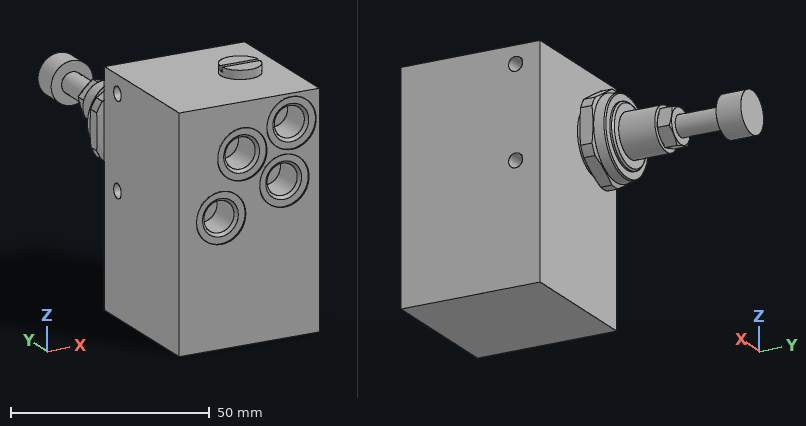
import cadquery as cq

block_side = 40.0
base_height = 25.0
block_height = 65.0

port_places = [(32.05, 8.0), (18.0, 14.0), (30.0, 23.0), (12.0, 30.0)]
spotface_diameter = 14.0
spotface_depth = 0.4
port_rim_diameter = 10.2
port_diameter = 8.6
port_depth = 10.2

cross_hole_diameter = 4.0
cross_hole_y = 33.0
cross_hole_heights = (34.0, 59.9)

screw_x = 28.05
screw_y = block_side / 2
screw_diameter = 11.0
screw_height = 2.5
slot_width = 1.3
slot_depth = 1.3

plunger_x = 11.05
plunger_z = 47.0
collar_diameter = 19.0
lock_nut_start = 1.95
lock_nut_end = 5.9
lock_nut_flats = 24.0
lock_nut_corner_diameter = 26.0
lock_nut_turn = 30
lock_nut_bevel_width = 1.3
lock_nut_bevel_height = 0.3
cap_base_radius = 11.7
cap_shoulder_radius = 11.3
cap_top_radius = 11.05
cap_end = 9.0
cap_bevel = 0.4
disc_diameter = 18.0
disc_end = 10.0
disc_bevel = 0.5
barrel_diameter = 12.5
barrel_end = 20.4
small_nut_end = 24.5
small_nut_corners = 11.6
small_nut_turn = -45
small_nut_bevel_width = 0.85
small_nut_bevel_height = 0.3
rod_diameter = 6.0
rod_end = 37.8
knob_diameter = 12.0
overall_length = 85.0
plunger_length = overall_length - block_side

HEX_CORNERS_PER_FLATS = 2 / 3**0.5


def make_block():
    """Stack the base and the valve body, keeping the seam between them."""
    base = cq.Workplane("XY").box(block_side, block_side, base_height, centered=False)
    body = (
        cq.Workplane("XY")
        .workplane(offset=base_height)
        .box(block_side, block_side, block_height - base_height, centered=False)
    )
    return base.union(body, clean=False)


def make_port(x, drop):
    """Spotface, conical lead-in and blind bore, as a cutter revolved about the port axis."""
    lead_in_end = spotface_depth + (port_rim_diameter - port_diameter) / 2
    profile = [
        (0, 0),
        (spotface_diameter / 2, 0),
        (spotface_diameter / 2, spotface_depth),
        (port_rim_diameter / 2, spotface_depth),
        (port_diameter / 2, lead_in_end),
        (port_diameter / 2, port_depth),
        (0, port_depth),
    ]
    cutter = cq.Workplane("XY").polyline(profile).close().revolve(360, (0, 0, 0), (0, 1, 0))
    return cutter.translate((x, 0, block_height - drop))


def make_cross_holes():
    return (
        cq.Workplane("YZ")
        .pushPoints([(cross_hole_y, z) for z in cross_hole_heights])
        .circle(cross_hole_diameter / 2)
        .extrude(block_side)
    )


def make_screw():
    head = cq.Workplane("XY").circle(screw_diameter / 2).extrude(screw_height)
    slot = (
        cq.Workplane("XY")
        .workplane(offset=screw_height - slot_depth)
        .rect(screw_diameter, slot_width)
        .extrude(slot_depth)
    )
    return head.cut(slot).translate((screw_x, screw_y, block_height))


def cylinder(diameter, start, end):
    """Round plunger section standing on the Z axis."""
    return cq.Workplane("XY").workplane(offset=start).circle(diameter / 2).extrude(end - start)


def hex_nut(corners, turn, round_diameter, bevel_width, bevel_height, start, end):
    """Hexagon trimmed by a round blank that is bevelled at both ends."""
    radius = round_diameter / 2
    profile = [
        (0, start),
        (radius - bevel_width, start),
        (radius, start + bevel_height),
        (radius, end - bevel_height),
        (radius - bevel_width, end),
        (0, end),
    ]
    blank = cq.Workplane("XZ").polyline(profile).close().revolve(360, (0, 0, 0), (0, 1, 0))
    hexagon = (
        cq.Workplane("XY")
        .workplane(offset=start)
        .polygon(6, corners)
        .extrude(end - start)
        .rotate((0, 0, 0), (0, 0, 1), turn)
    )
    return hexagon.intersect(blank)


def make_cap():
    profile = [
        (0, lock_nut_end),
        (cap_base_radius, lock_nut_end),
        (cap_shoulder_radius, cap_end - cap_bevel),
        (cap_top_radius, cap_end),
        (0, cap_end),
    ]
    return cq.Workplane("XZ").polyline(profile).close().revolve(360, (0, 0, 0), (0, 1, 0))


def make_plunger():
    """Build the plunger along +Z, then lay it along +Y on its axis in the back face."""
    lock_nut = hex_nut(
        lock_nut_flats * HEX_CORNERS_PER_FLATS,
        lock_nut_turn,
        lock_nut_corner_diameter,
        lock_nut_bevel_width,
        lock_nut_bevel_height,
        lock_nut_start,
        lock_nut_end,
    )
    small_nut = hex_nut(
        small_nut_corners,
        small_nut_turn,
        small_nut_corners,
        small_nut_bevel_width,
        small_nut_bevel_height,
        barrel_end,
        small_nut_end,
    )
    disc = cylinder(disc_diameter, cap_end, disc_end).faces(">Z").edges().chamfer(disc_bevel)
    plunger = (
        cylinder(collar_diameter, 0, lock_nut_start)
        .union(lock_nut)
        .union(make_cap())
        .union(disc)
        .union(cylinder(barrel_diameter, disc_end, barrel_end))
        .union(small_nut)
        .union(cylinder(rod_diameter, small_nut_end, rod_end))
        .union(cylinder(knob_diameter, rod_end, plunger_length))
    )
    return plunger.rotate((0, 0, 0), (1, 0, 0), -90).translate((plunger_x, block_side, plunger_z))


result = make_block().cut(make_cross_holes(), clean=False)
for port_x, port_drop in port_places:
    result = result.cut(make_port(port_x, port_drop), clean=False)
result = result.union(make_screw(), clean=False).union(make_plunger(), clean=False)